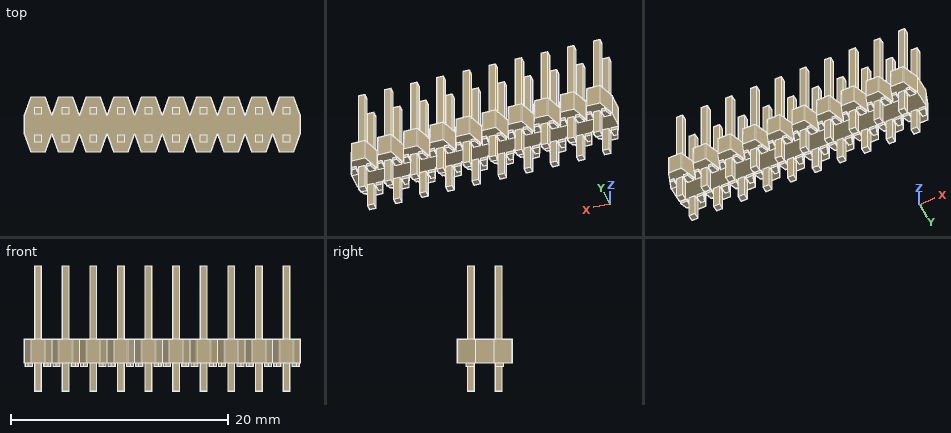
import cadquery as cq

pin_count = 10
body_length = 25.4
body_width = 5.08
overall_height = 11.55

pitch = body_length / pin_count
pin_size = 0.64
pin_below_body = 2.6

body_height = 2.2
cell_end_width = 1.32
neck_width = 1.73
corner_radius = 0.1

foot_height = 0.3
foot_inset = 0.05
foot_inner_y = 0.97
foot_outer_y = 1.73
foot_pin_side_x = 0.5


def flank_x(y):
    """Distance of the notch flank from the cell centre at distance y from the centre line."""
    slope = (pitch - cell_end_width) / (body_width - neck_width)
    return pitch / 2 - (y - neck_width / 2) * slope


def body_cell():
    """One octagonal cell of the insulator; neighbours meet at the notch roots."""
    half_pitch = pitch / 2
    half_end = cell_end_width / 2
    half_neck = neck_width / 2
    half_width = body_width / 2
    outline = [
        (-half_pitch, -half_neck),
        (-half_end, -half_width),
        (half_end, -half_width),
        (half_pitch, -half_neck),
        (half_pitch, half_neck),
        (half_end, half_width),
        (-half_end, half_width),
        (-half_pitch, half_neck),
    ]
    cell = (
        cq.Workplane("XY", origin=(0, 0, pin_below_body))
        .polyline(outline)
        .close()
        .extrude(body_height)
    )
    end_corners = cell.faces("<Y or >Y").edges("|Z")
    return end_corners.fillet(corner_radius)


def feet():
    """Four small feet under a cell, each with one side following a notch flank."""
    outline = [
        (foot_pin_side_x, foot_inner_y),
        (flank_x(foot_inner_y) - foot_inset, foot_inner_y),
        (flank_x(foot_outer_y) - foot_inset, foot_outer_y),
        (foot_pin_side_x, foot_outer_y),
    ]
    foot = (
        cq.Workplane("XY", origin=(0, 0, pin_below_body - foot_height))
        .polyline(outline)
        .close()
        .extrude(foot_height)
    )
    pair = foot.union(foot.mirror("YZ"))
    return pair.union(pair.mirror("XZ"))


def pins():
    """The two full-height square pins of a cell."""
    return (
        cq.Workplane("XY")
        .pushPoints([(0, -pitch / 2), (0, pitch / 2)])
        .rect(pin_size, pin_size)
        .extrude(overall_height)
    )


unit = body_cell().union(feet()).union(pins())
result = cq.Workplane("XY")
for index in range(pin_count):
    cell_centre_x = (index - (pin_count - 1) / 2) * pitch
    result = result.union(unit.translate((cell_centre_x, 0, 0)))